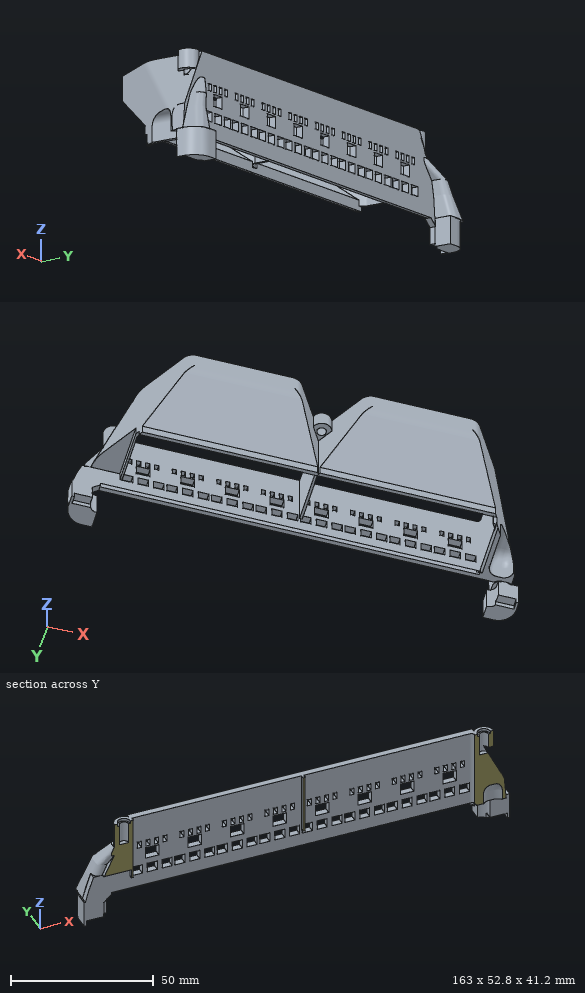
import cadquery as cq
import math

LENGTH_X = 162.99
LENGTH_Y = 52.83
FRAME_BOTTOM = -30.5
FRONT_Y = -44.43
WALL = 1.2
DIVIDER = 1.0
PLATE_THICKNESS = 2.6
EDGE_CHAMFER = 0.9
SIDE_WALL = 0.8
BAY_INNER_X = 65.0
SIDE_OUTER_X = BAY_INNER_X + SIDE_WALL

SLANT_ROOT_Y = -23.0
SLANT = 0.62
BAY_FRONT_OUTER_X = SIDE_OUTER_X + SLANT * (FRONT_Y - SLANT_ROOT_Y)
BAY_FRONT_INNER_X = 12.1
APEX_Y = FRONT_Y + BAY_FRONT_INNER_X / SLANT
CORNER_RADIUS = 5.0
JOINT_RADIUS = 2.5
RIGHT_CORNER_RADIUS = 1.2

FLOOR_ANGLE = math.radians(38.4)
LIP_FRONT_Y = -25.6
LIP_TOP = -22.9
LIP_BOTTOM = -26.4
LIP_BACK_Y = -24.2

FLARE = 0.5
FLARE_BOTTOM = -21.2
SKIRT_FOOT_X = 77.2
SKIRT_BLEND = 9.0
LEFT_WALL_BOTTOM = -24.6
DIVIDER_BOTTOM = -23.0

ARCH_INNER_X = 67.6
ARCH_OUTER_X = 76.4
ARCH_RADIUS = 3.5
ARCH_END_RADIUS = 5.5

BOSS_X = 68.6
BOSS_Y = -3.8
BOSS_RADIUS = 3.7
LEFT_BOSS_HEIGHT = 11.0
RIGHT_BOSS_HEIGHT = 7.0
SCREW_DIAMETER = 3.3
INSERT_DIAMETER = 4.7
INSERT_DEPTH = 1.0
SCREW_DEPTH = 9.0
TAB_Y = -29.1
TAB_RADIUS = 3.6
TAB_HEIGHT = 6.3

LEFT_END_X = -83.3
RIGHT_END_X = LEFT_END_X + LENGTH_X
REAR_Y = FRONT_Y + LENGTH_Y
FOOT_BOTTOM = -41.2
FOOT_TOP = -31.0
FOOT_WIDTH = 10.5
FOOT_REAR_STEP = 0.4
FOOT_CORNER = 6.5
FOOT_RELIEF_WIDTH = 3.0
FOOT_RELIEF_DEPTH = 4.4
FOOT_RELIEF_RADIUS = 2.5
SOLE_NOTCH_HEIGHT = 2.0
SOLE_NOTCH_DEPTH = 3.0
SOLE_WALL = 1.0
RIGHT_FOOT_FRONT_Y = -1.1
RIGHT_ARM_SETBACK = 1.0

ARM_STATIONS = (
    (FOOT_TOP, 0.5, 8.0, REAR_Y - FOOT_REAR_STEP, 2.5),
    (-22.5, 3.2, 8.8, 5.8, 2.5),
    (-17.0, 5.4, 10.0, 4.8, 2.0),
)
ARM_TOP = -9.5
ARM_TOP_OUTER = 10.8
ARM_TOP_INNER = 16.0
ARM_TOP_FRONT_Y = -5.0
ARM_TOP_RADIUS = 2.0

WEB_TOP_INSET = 3.6
WEB_MIDDLE_INSET = 1.8
WEB_MIDDLE_Z = -26.4
WEB_LOW_INSET = 0.5
WEB_BOTTOM = -33.1

CONNECTOR_PITCH = 16.2
CONNECTOR_COUNT = 8
CONNECTOR_SHIFT = -0.6
WINDOW_SIZE = (5.0, 4.3)
WINDOW_Z = -16.4
SLOT_SIZE = (1.5, 2.5)
SLOT_Z = -12.2
SLOT_PITCH = 3.25
SLOT_COUNT = 4
VENT_SIZE = (3.8, 3.5)
VENT_Z = -22.8
VENT_PITCH = 5.7
VENT_COUNT = 3


def box(x0, x1, y0, y1, z0, z1):
    """Axis-aligned block between the given limits."""
    return cq.Workplane("XY").box(x1 - x0, y1 - y0, z1 - z0, centered=False).translate((x0, y0, z0))


def along_y(points, y0, y1):
    """Prism along Y from an outline of (x, z) points."""
    return cq.Workplane("XZ", origin=(0, y1, 0)).polyline(points).close().extrude(y1 - y0)


def along_x(points, x0, x1):
    """Prism along X from an outline of (y, z) points."""
    return cq.Workplane("YZ", origin=(x0, 0, 0)).polyline(points).close().extrude(x1 - x0)


def down_z(points, height=-FRAME_BOTTOM):
    """Prism hanging below the top face from an outline of (x, y) points."""
    return cq.Workplane("XY").polyline(points).close().extrude(-height)


def bay_outer(side):
    """Plan prism of one bay, slanted walls extended back to the plate; side is -1 or 1."""
    outline = [
        (0, 0),
        (side * (SIDE_OUTER_X - SLANT * SLANT_ROOT_Y), 0),
        (side * BAY_FRONT_OUTER_X, FRONT_Y),
        (side * BAY_FRONT_INNER_X, FRONT_Y),
        (0, APEX_Y),
    ]
    return down_z(outline).edges("|Z and <Y").fillet(CORNER_RADIUS)


def section_profile(inset):
    """Side section of the bays, set in from the front and floor by the inset."""
    front = FRONT_Y + inset
    floor_rise = inset / math.cos(FLOOR_ANGLE)
    slope = math.tan(FLOOR_ANGLE)
    front_z = LIP_TOP + (LIP_FRONT_Y - front) * slope + floor_rise
    lip_y = LIP_BACK_Y if inset else LIP_FRONT_Y
    lip_top = front_z - (lip_y - front) * slope
    lip_bottom = FRAME_BOTTOM if inset else LIP_BOTTOM
    outline = [(0, 0), (front, 0), (front, front_z), (lip_y, lip_top), (lip_y, lip_bottom)]
    if not inset:
        outline += [(LIP_BACK_Y, LIP_BOTTOM), (LIP_BACK_Y, FRAME_BOTTOM)]
    outline.append((0, FRAME_BOTTOM))
    prism = along_x(outline, LEFT_END_X, RIGHT_END_X)
    corner = cq.selectors.NearestToPointSelector((0, front, front_z))
    return prism.edges("|X").edges(corner).fillet(CORNER_RADIUS - inset)


def body():
    """Outer envelope: both bays with the flared skirts at the ends."""
    flare_x = SIDE_OUTER_X - FLARE * FLARE_BOTTOM
    envelope = along_y(
        [
            (-SIDE_OUTER_X, 0),
            (-flare_x, FLARE_BOTTOM),
            (-SKIRT_FOOT_X, FRAME_BOTTOM),
            (SKIRT_FOOT_X, FRAME_BOTTOM),
            (flare_x, FLARE_BOTTOM),
            (SIDE_OUTER_X, 0),
        ],
        FRONT_Y,
        0,
    )
    shape = bay_outer(-1).union(bay_outer(1)).intersect(envelope)
    blend_z = FLARE_BOTTOM / 2
    for side in (-1, 1):
        blend_x = side * (SIDE_OUTER_X - FLARE * blend_z)
        blend_y = SLANT_ROOT_Y - FLARE * blend_z / SLANT
        edge = cq.selectors.NearestToPointSelector((blend_x, blend_y, blend_z))
        shape = shape.edges(edge).fillet(SKIRT_BLEND)
    return shape.intersect(section_profile(0))


def bay_pocket(side):
    """Open interior of one bay, above its sloping floor and through at the back."""
    slant_wall = WALL * math.hypot(1, SLANT)
    divider_x = DIVIDER / 2
    front = FRONT_Y + WALL
    inner_front_x = BAY_FRONT_INNER_X - SLANT * WALL + slant_wall
    outer_front_x = BAY_FRONT_OUTER_X + SLANT * WALL - slant_wall
    divider_end_y = front + (inner_front_x - divider_x) / SLANT
    side_end_y = front + (BAY_INNER_X - outer_front_x) / SLANT
    outline = [
        (side * divider_x, -PLATE_THICKNESS),
        (side * BAY_INNER_X, -PLATE_THICKNESS),
        (side * BAY_INNER_X, side_end_y),
        (side * outer_front_x, front),
        (side * inner_front_x, front),
        (side * divider_x, divider_end_y),
    ]
    prism = down_z(outline).edges("|Z and <Y").fillet(CORNER_RADIUS - WALL)
    mid_z = FRAME_BOTTOM / 2
    joint = cq.selectors.NearestToPointSelector((side * BAY_INNER_X, side_end_y, mid_z))
    prism = prism.edges(joint).fillet(JOINT_RADIUS)
    if side > 0:
        prism = prism.edges("|Z and >X and >Y").fillet(RIGHT_CORNER_RADIUS)
    return prism.intersect(section_profile(WALL))


def lower_cutouts():
    """Clearance under the left skirt, the left wall, the right bay and the divider."""
    front, back = FRONT_Y, -PLATE_THICKNESS
    skirt = box(LEFT_END_X, -SIDE_OUTER_X, front, back, FRAME_BOTTOM, FLARE_BOTTOM)
    left_wall = box(-SIDE_OUTER_X, 0, LIP_BACK_Y, back, FRAME_BOTTOM, LEFT_WALL_BOTTOM)
    right_bay = box(0, BAY_INNER_X - RIGHT_CORNER_RADIUS, LIP_BACK_Y, back, FRAME_BOTTOM, LEFT_WALL_BOTTOM)
    half_divider = DIVIDER / 2
    divider = box(-half_divider, half_divider, LIP_BACK_Y, back, FRAME_BOTTOM, DIVIDER_BOTTOM)
    return skirt.union(left_wall).union(right_bay).union(divider)


def bottom_chamfer():
    """Bevel along the inner bottom edges of the plate and the right wall."""
    bevel_top = FRAME_BOTTOM + EDGE_CHAMFER
    plate_bevel = [
        (-PLATE_THICKNESS, bevel_top),
        (-PLATE_THICKNESS, FRAME_BOTTOM),
        (EDGE_CHAMFER - PLATE_THICKNESS, FRAME_BOTTOM),
    ]
    wall_bevel = [
        (BAY_INNER_X, bevel_top),
        (BAY_INNER_X, FRAME_BOTTOM),
        (BAY_INNER_X + EDGE_CHAMFER, FRAME_BOTTOM),
    ]
    along_plate = along_x(plate_bevel, LEFT_END_X + FOOT_WIDTH, BAY_INNER_X)
    return along_plate.union(along_y(wall_bevel, LIP_BACK_Y, -PLATE_THICKNESS))


def cable_arch():
    """Round-topped tunnel through the right skirt, ending at the plate."""
    arch = box(ARCH_INNER_X, ARCH_OUTER_X, FRONT_Y, -PLATE_THICKNESS, FRAME_BOTTOM, FLARE_BOTTOM)
    arch = arch.edges("|X and >Z and >Y").fillet(ARCH_END_RADIUS)
    return arch.edges("|Y and >Z").fillet(ARCH_RADIUS)


def arm_section(side, end_x, z, outer, inner, front, rear, radius):
    """Rounded rectangle at height z; outer and inner are distances from the end of the part."""
    width = inner - outer
    centre_x = end_x - side * (outer + inner) / 2
    sketch = cq.Sketch().rect(width, rear - front).vertices().fillet(radius)
    return sketch.moved(cq.Location(cq.Vector(centre_x, (front + rear) / 2, z)))


def arm(side, end_x, front):
    """Tapered arm that leads from the screw boss down and back to the foot."""
    sections = []
    for z, outer, inner, rear, radius in ARM_STATIONS:
        sections.append(arm_section(side, end_x, z, outer, inner, front, rear, radius))
    top_limits = (ARM_TOP_OUTER, ARM_TOP_INNER, ARM_TOP_FRONT_Y, 0)
    sections.append(arm_section(side, end_x, ARM_TOP, *top_limits, ARM_TOP_RADIUS))
    return cq.Workplane("XY").placeSketch(*sections).loft(ruled=True)


def foot(side, end_x, front):
    """Foot with a rounded outer rear corner, a hollowed inner front corner and a notched sole."""
    inner_x = end_x - side * FOOT_WIDTH
    x0, x1 = sorted((end_x, inner_x))
    block = box(x0, x1, front, REAR_Y, FOOT_BOTTOM, FOOT_TOP)
    outer_corner = cq.selectors.NearestToPointSelector((end_x, REAR_Y, (FOOT_BOTTOM + FOOT_TOP) / 2))
    block = block.edges("|Z").edges(outer_corner).fillet(FOOT_CORNER)

    relief_x0, relief_x1 = sorted((inner_x, inner_x + side * FOOT_RELIEF_WIDTH))
    relief = box(relief_x0, relief_x1, front, front + FOOT_RELIEF_DEPTH, FOOT_BOTTOM, FOOT_TOP)
    relief_edge = "|Z and >Y and " + (">X" if side > 0 else "<X")
    relief = relief.edges(relief_edge).fillet(FOOT_RELIEF_RADIUS)

    notch_x0, notch_x1 = sorted((inner_x, end_x - side * SOLE_WALL))
    notch_top = FOOT_BOTTOM + SOLE_NOTCH_HEIGHT
    notch = box(notch_x0, notch_x1, front, front + SOLE_NOTCH_DEPTH, FOOT_BOTTOM, notch_top)
    return block.cut(relief).cut(notch)


def left_arm_web():
    """Flat web in the plane of the plate that joins the left arm to the frame."""
    outline = [
        (-SIDE_OUTER_X, FLARE_BOTTOM),
        (LEFT_END_X + WEB_TOP_INSET, FLARE_BOTTOM),
        (LEFT_END_X + WEB_MIDDLE_INSET, WEB_MIDDLE_Z),
        (LEFT_END_X + WEB_LOW_INSET, FOOT_TOP),
        (LEFT_END_X, WEB_BOTTOM),
        (LEFT_END_X + FOOT_WIDTH - FOOT_RELIEF_WIDTH, WEB_BOTTOM),
        (LEFT_END_X + FOOT_WIDTH, FRAME_BOTTOM),
        (-SIDE_OUTER_X, FRAME_BOTTOM),
    ]
    return along_y(outline, -PLATE_THICKNESS, 0)


def screw_boss(x, height):
    """Solid post under the top face beside one end of the plate."""
    return cq.Workplane("XY").center(x, BOSS_Y).circle(BOSS_RADIUS).extrude(-height)


def screw_hole(x):
    """Blind screw hole with a wider mouth."""
    hole = cq.Workplane("XY").center(x, BOSS_Y).circle(SCREW_DIAMETER / 2).extrude(-SCREW_DEPTH)
    mouth = cq.Workplane("XY").center(x, BOSS_Y).circle(INSERT_DIAMETER / 2).extrude(-INSERT_DEPTH)
    return hole.union(mouth)


def centre_tab(pockets):
    """Screw tab filling the V between the two bays."""
    half_width = SLANT * (APEX_Y - TAB_Y) + WALL / 2
    web = [(0, APEX_Y + WALL), (half_width, TAB_Y), (-half_width, TAB_Y)]
    post = cq.Workplane("XY").center(0, TAB_Y).circle(TAB_RADIUS).extrude(-TAB_HEIGHT)
    post = post.union(down_z(web, TAB_HEIGHT))
    hole = cq.Workplane("XY").center(0, TAB_Y).circle(SCREW_DIAMETER / 2).extrude(-TAB_HEIGHT)
    return post.cut(pockets).cut(hole)


def plate_openings(x_positions, z, size):
    """Row of rectangular openings through the rear plate."""
    centres = [(x, z) for x in x_positions]
    return cq.Workplane("XZ").pushPoints(centres).rect(*size).extrude(PLATE_THICKNESS)


def spread(centre, pitch, count):
    """Evenly pitched positions about a centre."""
    return [centre + pitch * (i - (count - 1) / 2) for i in range(count)]


def connector_openings():
    """Window, pin slots and vents of every connector position."""
    windows = spread(CONNECTOR_SHIFT, CONNECTOR_PITCH, CONNECTOR_COUNT)
    slots = []
    vents = []
    for x in windows:
        slots += spread(x, SLOT_PITCH, SLOT_COUNT)
        vents += spread(x, VENT_PITCH, VENT_COUNT)
    rows = ((windows, WINDOW_Z, WINDOW_SIZE), (slots, SLOT_Z, SLOT_SIZE), (vents, VENT_Z, VENT_SIZE))
    openings = cq.Workplane("XY")
    for positions, z, size in rows:
        openings.add(plate_openings(positions, z, size).vals())
    return openings.combine()


def leg(side, end_x, arm_end_x, front):
    """Foot and arm of one leg."""
    return foot(side, end_x, front).union(arm(side, arm_end_x, front))


pockets = bay_pocket(-1).union(bay_pocket(1))

frame = body().cut(pockets).cut(lower_cutouts()).cut(cable_arch())
frame = frame.union(centre_tab(pockets))
frame = frame.union(screw_boss(-BOSS_X, LEFT_BOSS_HEIGHT)).union(screw_boss(BOSS_X, RIGHT_BOSS_HEIGHT))
frame = frame.union(leg(-1, LEFT_END_X, LEFT_END_X, -PLATE_THICKNESS))
frame = frame.union(leg(1, RIGHT_END_X, RIGHT_END_X - RIGHT_ARM_SETBACK, RIGHT_FOOT_FRONT_Y))
frame = frame.union(left_arm_web())

frame = frame.cut(pockets).cut(bottom_chamfer())
frame = frame.cut(screw_hole(-BOSS_X)).cut(screw_hole(BOSS_X))
result = frame.cut(connector_openings())